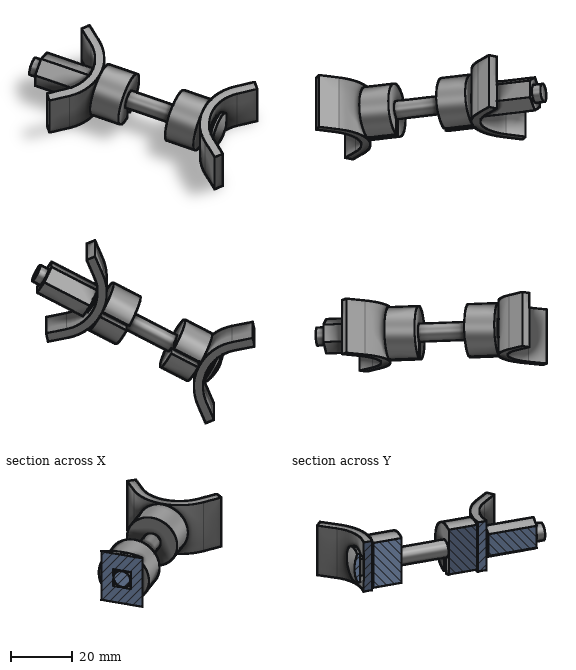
import cadquery as cq
import math


saddle_span = 36.5
saddle_thickness = 3.0
saddle_height = 18.0
saddle_outer_radius = 15.7
saddle_inner_radius = saddle_outer_radius - saddle_thickness
bend_half_angle = 50.5
saddle_reach = 16.46
saddle_tilt = 0.5

collar_diameter = 17.5
collar_length = 10.0
collar_slot_width = 1.8

bolt_diameter = 6.0
bolt_length = 65.0
neck_width = bolt_diameter
head_diameter = 12.0
head_rim_height = 1.1
head_height = 2.5

nut_width = 10.0
nut_length = 17.0

crest_x = saddle_span / 2


def drop(radius, offset):
    """Depth of a circular arc below its crest at a sideways offset."""
    return radius - math.sqrt(radius**2 - offset**2)


saddle_bore_x = crest_x + saddle_thickness
head_seat_x = saddle_bore_x + drop(saddle_inner_radius, head_diameter / 2)
nut_seat_x = -saddle_bore_x - drop(saddle_inner_radius, nut_width / 2)
bolt_end_x = head_seat_x - bolt_length


def make_saddle():
    """Saddle on the +X side, opening toward +X."""
    angle = math.radians(bend_half_angle)
    bend_center_x = crest_x + saddle_outer_radius
    arm_length = (saddle_reach - saddle_outer_radius * math.sin(angle)) / math.cos(angle)

    def on_arm(radius, along, side):
        x = bend_center_x - radius * math.cos(angle) + along * math.sin(angle)
        y = radius * math.sin(angle) + along * math.cos(angle)
        return (x, side * y)

    saddle = (
        cq.Workplane("XY")
        .workplane(offset=-saddle_height / 2)
        .moveTo(*on_arm(saddle_outer_radius, arm_length, 1))
        .lineTo(*on_arm(saddle_outer_radius, 0, 1))
        .threePointArc((crest_x, 0), on_arm(saddle_outer_radius, 0, -1))
        .lineTo(*on_arm(saddle_outer_radius, arm_length, -1))
        .lineTo(*on_arm(saddle_inner_radius, arm_length, -1))
        .lineTo(*on_arm(saddle_inner_radius, 0, -1))
        .threePointArc((saddle_bore_x, 0), on_arm(saddle_inner_radius, 0, 1))
        .lineTo(*on_arm(saddle_inner_radius, arm_length, 1))
        .close()
        .extrude(saddle_height)
        .rotate((bend_center_x, 0, 0), (bend_center_x, 0, 1), -saddle_tilt)
    )
    neck_hole = cq.Workplane("YZ").rect(neck_width, neck_width).extrude(bend_center_x)
    return saddle.cut(neck_hole)


def make_collar():
    """Collar on the +X side, against the saddle crest, slotted from its bore down."""
    collar = (
        cq.Workplane("YZ")
        .workplane(offset=crest_x - collar_length)
        .circle(collar_diameter / 2)
        .circle(bolt_diameter / 2)
        .extrude(collar_length)
    )
    slot = (
        cq.Workplane("YZ")
        .workplane(offset=crest_x - collar_length)
        .center(0, -collar_diameter / 2)
        .rect(collar_slot_width, collar_diameter)
        .extrude(collar_length)
    )
    return collar.cut(slot)


def make_bolt():
    """Carriage bolt: round shank, square neck through the saddle, domed head."""
    shank = (
        cq.Workplane("YZ")
        .workplane(offset=bolt_end_x)
        .circle(bolt_diameter / 2)
        .extrude(bolt_length)
    )
    neck = (
        cq.Workplane("YZ")
        .workplane(offset=crest_x)
        .rect(neck_width, neck_width)
        .extrude(head_seat_x - crest_x)
    )
    head_radius = head_diameter / 2
    dome_height = head_height - head_rim_height
    dome_radius = (head_radius**2 + dome_height**2) / (2 * dome_height)
    rim_x = head_seat_x + head_rim_height
    top_x = head_seat_x + head_height
    dome_mid = (top_x - drop(dome_radius, head_radius / 2), head_radius / 2)
    head = (
        cq.Workplane("XY")
        .moveTo(head_seat_x, 0)
        .lineTo(head_seat_x, head_radius)
        .lineTo(rim_x, head_radius)
        .threePointArc(dome_mid, (top_x, 0))
        .close()
        .revolve(360, (0, 0, 0), (1, 0, 0))
    )
    return shank.union(neck).union(head)


def make_nut():
    """Long hexagon nut with corners up and down, seated in the -X saddle."""
    across_corners = nut_width / math.cos(math.radians(30))
    return (
        cq.Workplane("YZ")
        .workplane(offset=nut_seat_x)
        .polygon(6, across_corners)
        .circle(bolt_diameter / 2)
        .extrude(-nut_length)
        .rotate((0, 0, 0), (1, 0, 0), 90)
    )


bolt = make_bolt()
nut = make_nut()
bodies = [bolt.val(), nut.val()]
for turn in (0, 180):
    saddle = make_saddle().rotate((0, 0, 0), (0, 0, 1), turn)
    collar = make_collar().rotate((0, 0, 0), (0, 0, 1), turn)
    bodies += [saddle.val(), collar.val()]

result = cq.Compound.makeCompound(bodies)